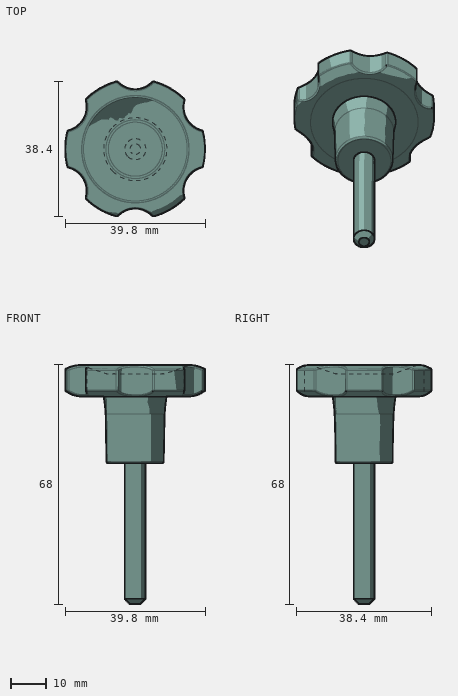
import cadquery as cq
import math

total_height = 68.0
head_height = 9.05
hub_height = 19.0
head_base = total_height - head_height
hub_base = head_base - hub_height

head_radius = 19.9
crown_radius = 15.3
top_crown_drop = 1.2
bottom_crown_rise = 1.7
edge_fillet = 0.5

scallop_count = 6
scallop_radius = 6.8
scallop_reach = 17.0
scallop_corner_fillet = 0.6

dish_depth = 2.5
dish_rim_radius = 14.95
dish_floor_radius = 8.0
dish_wall_bulge = 0.2
dish_floor_fillet = 2.7
dish_rim_fillet = 1.1

hub_bottom_radius = 8.15
hub_neck_radius = 8.4
hub_top_radius = 9.0
hub_flare_height = 4.9
flare_hollow = 0.1
hub_fillet = 0.6

pin_radius = 3.0
pin_chamfer = 1.5


def is_on_side_wall(edge):
    """True for edges that lie out at the scallops or beyond."""
    center = edge.Center()
    return math.hypot(center.x, center.y) > scallop_reach


def make_head():
    """Disc with crowned top and bottom margins, cut by the finger scallops."""
    side_bottom = head_base + bottom_crown_rise
    side_top = total_height - top_crown_drop
    middle_radius = (crown_radius + head_radius) / 2
    disc = (
        cq.Workplane("XZ")
        .moveTo(0, head_base)
        .lineTo(crown_radius, head_base)
        .threePointArc((middle_radius, head_base + bottom_crown_rise / 4), (head_radius, side_bottom))
        .lineTo(head_radius, side_top)
        .threePointArc((middle_radius, total_height - top_crown_drop / 4), (crown_radius, total_height))
        .lineTo(0, total_height)
        .close()
        .revolve(360, (0, 0, 0), (0, 1, 0))
    )
    first_angle = 180 / scallop_count
    scallops = (
        cq.Workplane("XY")
        .workplane(offset=head_base)
        .polarArray(scallop_reach + scallop_radius, first_angle, 360, scallop_count)
        .circle(scallop_radius)
        .extrude(head_height)
    )
    lobed = disc.rotate((0, 0, 0), (0, 0, 1), first_angle).cut(scallops)
    lobed = lobed.edges("|Z").fillet(scallop_corner_fillet)
    return lobed.edges("not |Z").filter(is_on_side_wall).fillet(edge_fillet)


def make_dish():
    """Bowl-shaped cutter with a flat floor."""
    floor = total_height - dish_depth
    wall_middle = (
        (dish_rim_radius + dish_floor_radius) / 2,
        total_height - dish_depth / 2 - dish_wall_bulge,
    )
    return (
        cq.Workplane("XZ")
        .moveTo(0, floor)
        .lineTo(dish_floor_radius, floor)
        .threePointArc(wall_middle, (dish_rim_radius, total_height))
        .lineTo(0, total_height)
        .close()
        .revolve(360, (0, 0, 0), (0, 1, 0))
    )


def blend_dish(head):
    """Round the rim and the floor corner of the dish."""
    floor = total_height - dish_depth
    floor_center = cq.selectors.NearestToPointSelector((0, 0, floor))
    head = head.faces(floor_center).edges().fillet(dish_floor_fillet)
    return head.faces(">Z").edges(cq.selectors.RadiusNthSelector(0)).fillet(dish_rim_fillet)


def make_hub():
    flare_base = head_base - hub_flare_height
    flare_middle = (
        (hub_neck_radius + hub_top_radius) / 2 - flare_hollow,
        head_base - hub_flare_height / 2,
    )
    hub = (
        cq.Workplane("XZ")
        .moveTo(0, hub_base)
        .lineTo(hub_bottom_radius, hub_base)
        .lineTo(hub_neck_radius, flare_base)
        .threePointArc(flare_middle, (hub_top_radius, head_base))
        .lineTo(0, head_base)
        .close()
        .revolve(360, (0, 0, 0), (0, 1, 0))
    )
    return hub.faces("<Z").edges().fillet(hub_fillet)


def make_pin():
    pin = cq.Workplane("XY").circle(pin_radius).extrude(hub_base)
    return pin.faces("<Z").chamfer(pin_chamfer)


head = blend_dish(make_head().cut(make_dish()))
result = head.union(make_hub()).union(make_pin())